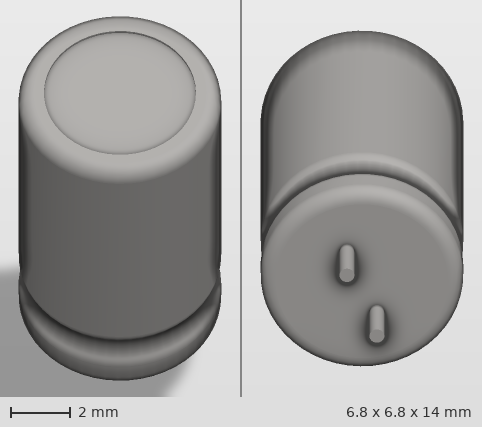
import cadquery as cq
import math

CAN_DIAMETER = 6.8
TOTAL_HEIGHT = 13.98
LEAD_LENGTH = 1.8
LEAD_DIAMETER = 0.5
LEAD_PITCH = 2.5
EDGE_RADIUS = 0.5

GROOVE_HEIGHT = 2.0
GROOVE_DEPTH = 0.27
GROOVE_RADIUS = 1.0
SHOULDER_RADIUS = 0.5

RECESS_DIAMETER = 5.1
RECESS_DEPTH = 0.1

CAN_RADIUS = CAN_DIAMETER / 2
CAN_HEIGHT = TOTAL_HEIGHT - LEAD_LENGTH
LEAD_EMBED = EDGE_RADIUS


def arc_point(center, radius, degrees):
    """Point on a circle in the (radius, height) half-plane."""
    angle = math.radians(degrees)
    return (center[0] + radius * math.cos(angle), center[1] + radius * math.sin(angle))


def add_arc(outline, center, radius, start, end):
    """Extend the outline along a circular arc that starts at the current point."""
    middle = arc_point(center, radius, (start + end) / 2)
    return outline.threePointArc(middle, arc_point(center, radius, end))


def make_can():
    """Revolved can: rounded rims and a crimp groove blended in by convex shoulders."""
    center_distance = GROOVE_RADIUS + SHOULDER_RADIUS
    tangent_angle = math.degrees(math.acos(1 - GROOVE_DEPTH / center_distance))
    shoulder_offset = center_distance * math.sin(math.radians(tangent_angle))

    rim_x = CAN_RADIUS - EDGE_RADIUS
    shoulder_x = CAN_RADIUS - SHOULDER_RADIUS
    bottom_rim = (rim_x, EDGE_RADIUS)
    lower_shoulder = (shoulder_x, GROOVE_HEIGHT - shoulder_offset)
    groove = (CAN_RADIUS - GROOVE_DEPTH + GROOVE_RADIUS, GROOVE_HEIGHT)
    upper_shoulder = (shoulder_x, GROOVE_HEIGHT + shoulder_offset)
    top_rim = (rim_x, CAN_HEIGHT - EDGE_RADIUS)

    outline = cq.Workplane("XZ").lineTo(rim_x, 0)
    outline = add_arc(outline, bottom_rim, EDGE_RADIUS, -90, 0)
    outline = outline.lineTo(CAN_RADIUS, lower_shoulder[1])
    outline = add_arc(outline, lower_shoulder, SHOULDER_RADIUS, 0, tangent_angle)
    outline = add_arc(outline, groove, GROOVE_RADIUS, 180 + tangent_angle, 180 - tangent_angle)
    outline = add_arc(outline, upper_shoulder, SHOULDER_RADIUS, -tangent_angle, 0)
    outline = outline.lineTo(CAN_RADIUS, top_rim[1])
    outline = add_arc(outline, top_rim, EDGE_RADIUS, 0, 90)
    outline = outline.lineTo(0, CAN_HEIGHT).close()
    return outline.revolve(360, (0, 0, 0), (0, 1, 0))


def make_top_recess():
    """Disc removed from the top face."""
    floor = cq.Workplane("XY").workplane(offset=CAN_HEIGHT - RECESS_DEPTH)
    return floor.circle(RECESS_DIAMETER / 2).extrude(RECESS_DEPTH)


def make_leads():
    """Two straight round leads below the can, side by side along X."""
    lead_ends = cq.Workplane("XY").workplane(offset=-LEAD_LENGTH)
    lead_centers = [(-LEAD_PITCH / 2, 0), (LEAD_PITCH / 2, 0)]
    return lead_ends.pushPoints(lead_centers).circle(LEAD_DIAMETER / 2).extrude(LEAD_LENGTH + LEAD_EMBED)


result = make_can().cut(make_top_recess()).union(make_leads())